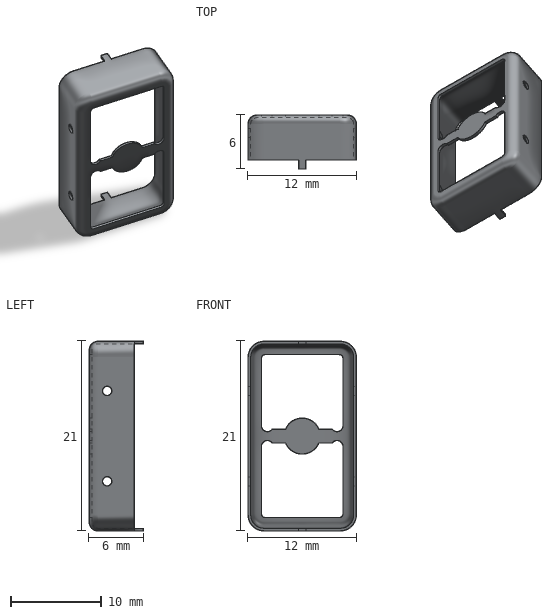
import cadquery as cq

WIDTH = 12.0
HEIGHT = 21.0
SHELL_DEPTH = 5.0
WALL = 0.3
CORNER_RADIUS = 1.8
FLOOR_EDGE_RADIUS = 1.0

WINDOW_MARGIN = 1.5
WINDOW_CORNER_RADIUS = 0.4
WINDOW_WIDTH = WIDTH - 2 * WINDOW_MARGIN
WINDOW_HEIGHT = HEIGHT - 2 * WINDOW_MARGIN

BAR_HEIGHT = 1.56
DISC_RADIUS = 2.0
NECK_HEIGHT = 1.0
RELIEF_RADIUS = 0.65
RELIEF_X = WINDOW_WIDTH / 2 - RELIEF_RADIUS
RELIEF_Z = NECK_HEIGHT / 2 + RELIEF_RADIUS

SIDE_HOLE_DIAMETER = 1.0
SIDE_HOLE_SPACING = 10.0
SIDE_HOLE_FROM_FLOOR = 2.0

TAB_WIDTH = 0.8
TAB_LENGTH = 1.0


def rounded_block(width, height, depth, corner_radius):
    """Block from the rim plane (Y = 0) toward +Y, rounded in the XZ plane."""
    return (
        cq.Workplane("XZ")
        .rect(width, height)
        .extrude(-depth)
        .edges("|Y")
        .fillet(corner_radius)
    )


def floor_plane():
    """Sketch plane on the inner face of the floor."""
    return cq.Workplane("XZ", origin=(0, SHELL_DEPTH - WALL, 0))


def make_shell():
    outer = rounded_block(WIDTH, HEIGHT, SHELL_DEPTH, CORNER_RADIUS)
    outer = outer.faces(">Y").edges().fillet(FLOOR_EDGE_RADIUS)
    cavity = rounded_block(
        WIDTH - 2 * WALL, HEIGHT - 2 * WALL, SHELL_DEPTH - WALL, CORNER_RADIUS - WALL
    )
    cavity = cavity.faces(">Y").edges().fillet(FLOOR_EDGE_RADIUS - WALL)
    return outer.cut(cavity)


def make_window():
    """Window cutter: the rounded rectangle less the crossbar."""
    opening = (
        floor_plane()
        .rect(WINDOW_WIDTH, WINDOW_HEIGHT)
        .extrude(-WALL)
        .edges("|Y")
        .fillet(WINDOW_CORNER_RADIUS)
    )
    return opening.cut(make_crossbar())


def make_crossbar():
    bar = floor_plane().rect(WINDOW_WIDTH, BAR_HEIGHT).extrude(-WALL)
    disc = floor_plane().circle(DISC_RADIUS).extrude(-WALL)
    end_length = WINDOW_WIDTH / 2 - RELIEF_X
    ends = (
        floor_plane()
        .pushPoints([(side * (RELIEF_X + end_length / 2), 0) for side in (-1, 1)])
        .rect(end_length, 2 * RELIEF_Z)
        .extrude(-WALL)
    )
    reliefs = (
        floor_plane()
        .rect(2 * RELIEF_X, 2 * RELIEF_Z, forConstruction=True)
        .vertices()
        .circle(RELIEF_RADIUS)
        .extrude(-WALL)
    )
    return bar.union(ends).cut(reliefs).union(disc)


def make_side_holes():
    hole_y = SHELL_DEPTH - SIDE_HOLE_FROM_FLOOR
    return (
        cq.Workplane("YZ")
        .pushPoints([(hole_y, side * SIDE_HOLE_SPACING / 2) for side in (-1, 1)])
        .circle(SIDE_HOLE_DIAMETER / 2)
        .extrude(WIDTH / 2, both=True)
    )


def make_tab(side):
    """Tab flush with the top (side = 1) or bottom (side = -1) wall, overlapping it for a sound joint."""
    return cq.Workplane("XY").box(TAB_WIDTH, 2 * TAB_LENGTH, WALL).translate(
        (0, 0, side * (HEIGHT - WALL) / 2)
    )


result = make_shell().cut(make_window()).cut(make_side_holes())
for tab_side in (-1, 1):
    result = result.union(make_tab(tab_side))